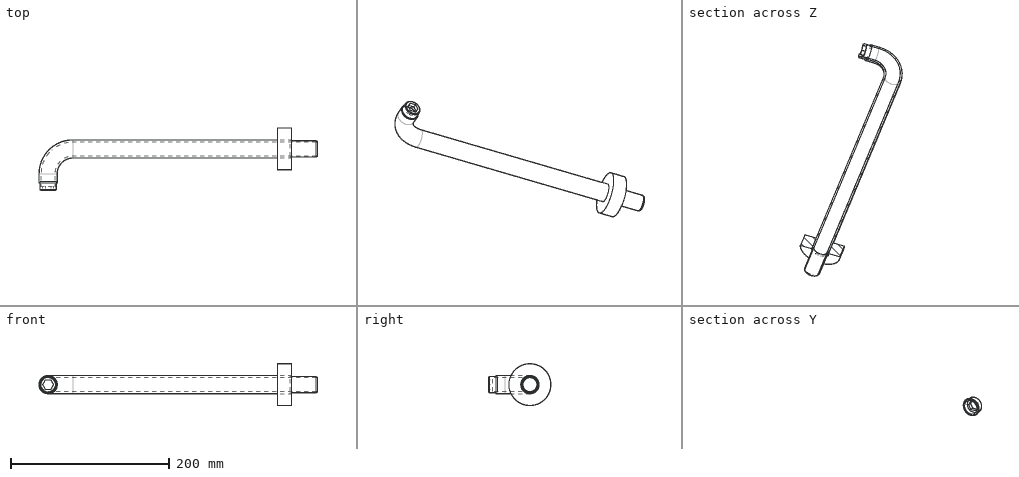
import cadquery as cq
import math

OVERALL_LENGTH = 352.0
OVERALL_WIDTH = 79.0

ARM_DIAMETER = 23.2
BORE_DIAMETER = 17.5
BEND_RADIUS = 31.5
OUTLET_STRAIGHT = 11.5
SOCKET_DEPTH = 2.0

NIPPLE_DIAMETER = 20.8
INLET_PROJECTION = 32.7
CHAMFER_INSET = 1.0
INLET_CHAMFER_LENGTH = 2.0
OUTLET_CHAMFER_LENGTH = 1.0

HEX_DEPTH = 5.0
HEX_ACROSS_FLATS = 12.0
HEX_ACROSS_CORNERS = HEX_ACROSS_FLATS / math.cos(math.radians(30))

FLANGE_DIAMETER = 53.0
FLANGE_THICKNESS = 18.0

INLET_TIP_X = OVERALL_LENGTH - BEND_RADIUS - ARM_DIAMETER / 2
FLANGE_BACK_X = INLET_TIP_X - INLET_PROJECTION
FLANGE_FRONT_X = FLANGE_BACK_X - FLANGE_THICKNESS
ARM_TIP_Y = -BEND_RADIUS - OUTLET_STRAIGHT
OUTLET_TIP_Y = FLANGE_DIAMETER / 2 - OVERALL_WIDTH
OUTLET_PROJECTION = ARM_TIP_Y - OUTLET_TIP_Y

inlet_seat = cq.Workplane("YZ", origin=(FLANGE_BACK_X - SOCKET_DEPTH, 0, 0))
outlet_seat = cq.Workplane("XZ", origin=(-BEND_RADIUS, ARM_TIP_Y + SOCKET_DEPTH, 0))


def make_arm():
    """Bent tube from the flange's back face to the outlet end."""
    centre_line = (
        cq.Workplane("XY")
        .moveTo(FLANGE_BACK_X, 0)
        .lineTo(0, 0)
        .radiusArc((-BEND_RADIUS, -BEND_RADIUS), -BEND_RADIUS)
        .lineTo(-BEND_RADIUS, ARM_TIP_Y)
    )
    tube = (
        cq.Workplane("YZ", origin=(FLANGE_BACK_X, 0, 0))
        .circle(ARM_DIAMETER / 2)
        .circle(BORE_DIAMETER / 2)
        .sweep(centre_line)
    )
    for seat in (inlet_seat, outlet_seat):
        tube = tube.cut(seat.circle(NIPPLE_DIAMETER / 2).extrude(SOCKET_DEPTH))
    return tube


def make_flange():
    """Round wall flange that the arm passes through."""
    return (
        cq.Workplane("YZ", origin=(FLANGE_FRONT_X, 0, 0))
        .circle(FLANGE_DIAMETER / 2)
        .circle(ARM_DIAMETER / 2)
        .extrude(FLANGE_THICKNESS)
    )


def make_nipple_blank(seat, length, chamfer_length):
    """Unbored nipple that stands on a seat, chamfered around its tip."""
    tip = cq.selectors.DirectionMinMaxSelector(seat.plane.zDir)
    blank = seat.circle(NIPPLE_DIAMETER / 2).extrude(length)
    return blank.faces(tip).chamfer(chamfer_length, CHAMFER_INSET)


def make_inlet_nipple():
    """Nipple behind the flange, bored right through."""
    length = SOCKET_DEPTH + INLET_PROJECTION
    bore = inlet_seat.circle(BORE_DIAMETER / 2).extrude(length)
    return make_nipple_blank(inlet_seat, length, INLET_CHAMFER_LENGTH).cut(bore)


def make_outlet_nipple():
    """Nipple at the bent end, whose round bore narrows to a hexagonal mouth."""
    length = SOCKET_DEPTH + OUTLET_PROJECTION
    bore = outlet_seat.circle(BORE_DIAMETER / 2).extrude(length - HEX_DEPTH)
    mouth = outlet_seat.polygon(6, HEX_ACROSS_CORNERS).extrude(length)
    return make_nipple_blank(outlet_seat, length, OUTLET_CHAMFER_LENGTH).cut(bore).cut(mouth)


arm = make_arm()
flange = make_flange()
inlet_nipple = make_inlet_nipple()
outlet_nipple = make_outlet_nipple()

result = cq.Compound.makeCompound([arm.val(), flange.val(), inlet_nipple.val(), outlet_nipple.val()])